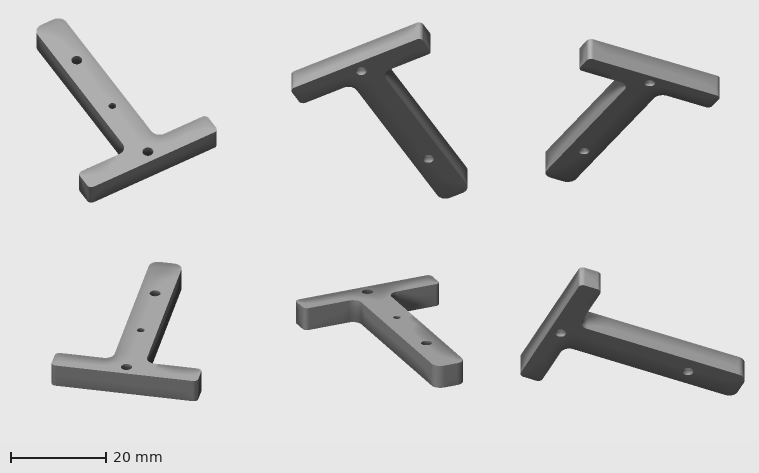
import cadquery as cq

length = 44.0
crossbar_span = 31.4
thickness = 5.0
crossbar_width = 5.0
stem_width = 7.0

stem_end_radius = 2.0
inner_corner_radius = 2.0
crossbar_corner_radius = 1.0

through_hole_diameter = 2.3
through_hole_spacing = 29.3
blind_hole_diameter = 1.6
blind_hole_depth = thickness / 2

crossbar_inner_x = length - crossbar_width
crossbar_hole_x = length - crossbar_width / 2
stem_hole_x = crossbar_hole_x - through_hole_spacing
blind_hole_x = (stem_hole_x + crossbar_hole_x) / 2


def make_stem():
    """Stem with a rounded free end, reaching the far face of the crossbar."""
    stem = cq.Workplane("XY").box(length, stem_width, thickness, centered=(False, True, False))
    return stem.edges("|Z and <X").fillet(stem_end_radius)


def make_crossbar():
    """Crossbar with all four vertical edges rounded."""
    crossbar = cq.Workplane("XY").box(
        crossbar_width, crossbar_span, thickness, centered=(False, True, False)
    )
    crossbar = crossbar.edges("|Z").fillet(crossbar_corner_radius)
    return crossbar.translate((crossbar_inner_x, 0, 0))


def round_inner_corners(body):
    """Fillet the two concave edges where the stem meets the crossbar."""
    for side in (-1, 1):
        corner = (crossbar_inner_x, side * stem_width / 2, thickness / 2)
        body = body.edges(cq.selectors.NearestToPointSelector(corner)).fillet(inner_corner_radius)
    return body


def drill_holes(body):
    """Two through holes with a smaller blind hole midway between them."""
    top = body.faces(">Z").workplane(origin=(0, 0, thickness))
    body = top.pushPoints([(stem_hole_x, 0), (crossbar_hole_x, 0)]).hole(through_hole_diameter)
    top = body.faces(">Z").workplane(origin=(0, 0, thickness))
    return top.center(blind_hole_x, 0).hole(blind_hole_diameter, blind_hole_depth)


tee = make_stem().union(make_crossbar()).clean()
result = drill_holes(round_inner_corners(tee))